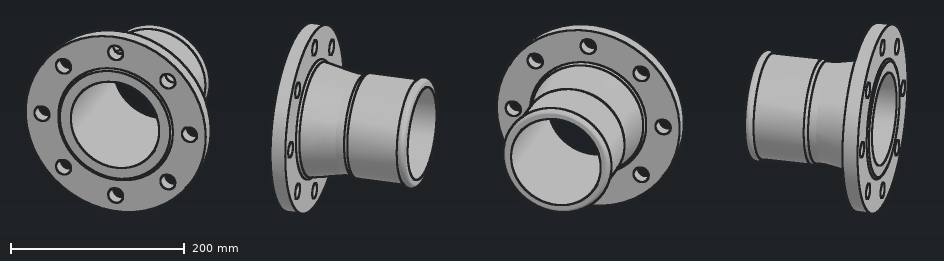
import cadquery as cq

total_length = 150.0

flange_diameter = 220.0
flange_thickness = 18.0
raised_face_height = 2.0
bolt_count = 8
bolt_circle_diameter = 180.0
bolt_hole_diameter = 18.0

bore_diameter = 107.8
raised_face_radius = 70.0
edge_chamfer = 2.6
neck_radius = 59.5
pipe_radius = 61.5
bead_radius = 65.0
bead_end_radius = 60.3

flange_back = raised_face_height + flange_thickness
taper_start = flange_back + 3.3
taper_end = 65.0
neck_end = 74.8
pipe_start = 79.5
bead_start = 139.3
bead_crest = 144.3

hub_radius = raised_face_radius - edge_chamfer


def make_body():
    """Revolve the outer half profile about the Y axis."""
    profile = (
        cq.Workplane("XY")
        .moveTo(0, 0)
        .lineTo(hub_radius, 0)
        .lineTo(raised_face_radius, raised_face_height)
        .lineTo(flange_diameter / 2, raised_face_height)
        .lineTo(flange_diameter / 2, flange_back)
        .lineTo(raised_face_radius, flange_back)
        .lineTo(hub_radius, taper_start)
        .lineTo(neck_radius, taper_end)
        .lineTo(neck_radius, neck_end)
        .lineTo(pipe_radius, pipe_start)
        .lineTo(pipe_radius, bead_start)
        .threePointArc((bead_radius, bead_crest), (bead_end_radius, total_length))
        .lineTo(0, total_length)
        .close()
    )
    return profile.revolve(360, (0, 0, 0), (0, 1, 0))


def cylinder_along_y(diameter, length):
    """Cylinder on the Y axis, from the sealing face towards +Y."""
    return cq.Workplane("XZ").circle(diameter / 2).extrude(-length)


def make_bolt_holes():
    """Ring of through holes, with one hole on the X axis."""
    return (
        cq.Workplane("XZ")
        .polarArray(bolt_circle_diameter / 2, 0, 360, bolt_count)
        .circle(bolt_hole_diameter / 2)
        .extrude(-flange_back)
    )


bore = cylinder_along_y(bore_diameter, total_length)
result = make_body().cut(bore).cut(make_bolt_holes())